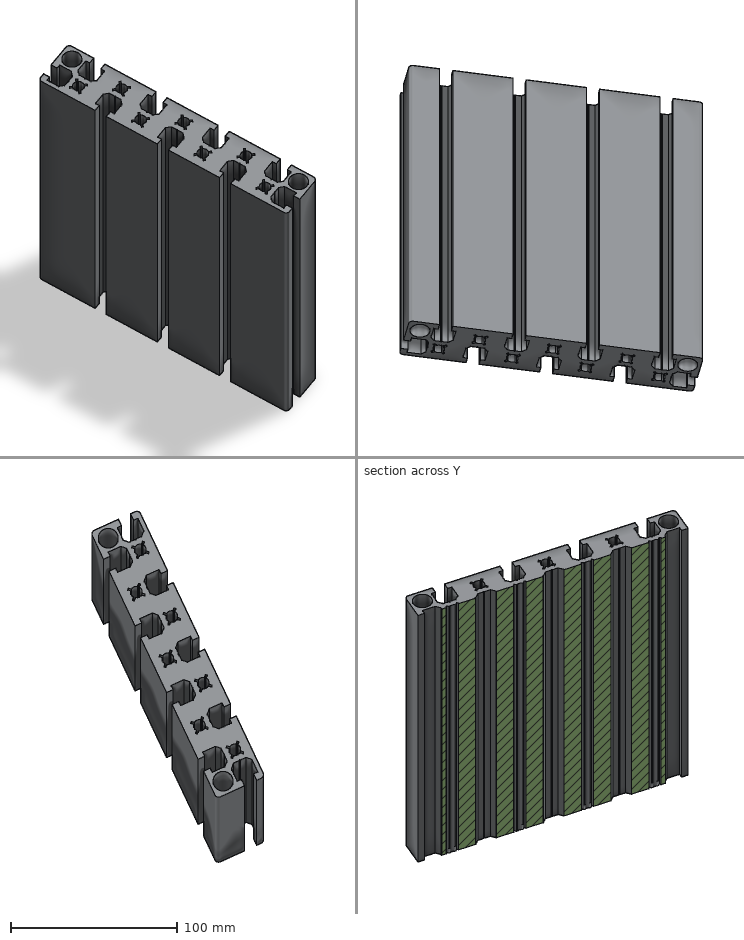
import cadquery as cq

WIDTH = 180.0
DEPTH = 32.0
LENGTH = 200.0
EDGE_ROUND_DIAMETER = 5.0

BACK_SLOT_COUNT = 4
FRONT_SLOT_COUNT = BACK_SLOT_COUNT - 1
SLOT_PITCH = WIDTH / BACK_SLOT_COUNT
SLOT_OPENING = 8.0
SLOT_INNER_WIDTH = 13.5
SLOT_LIP = 4.5
SLOT_DEPTH = 15.5
SLOT_CORNER = 2.5
NOTCH_WIDTH = 0.8
NOTCH_DEPTH = 0.5

CORE_ROW_SPACING = 13.0
CORE_DIAMETER = 7.0
RELIEF_LENGTH = 10.8
RELIEF_WIDTH = 1.2
CORNER_BORE_DIAMETER = 12.0
CORNER_BORE_INSET = 8.0

HALF_WIDTH = WIDTH / 2
HALF_DEPTH = DEPTH / 2
CORE_Y = CORE_ROW_SPACING / 2


def slot_positions(count):
    """X positions of a row of slots, one pitch apart and centred on the profile."""
    return [(i - (count - 1) / 2) * SLOT_PITCH for i in range(count)]


def t_slot(x, y, angle):
    """T-slot cutter whose mouth is centred on (x, y); at angle 0 it cuts towards +Y."""
    opening = SLOT_OPENING / 2
    inner = SLOT_INNER_WIDTH / 2
    floor = inner - SLOT_CORNER
    right_side = [
        (opening, 0),
        (opening, SLOT_LIP),
        (inner, SLOT_LIP),
        (inner, SLOT_DEPTH - SLOT_CORNER),
        (floor, SLOT_DEPTH),
        (NOTCH_WIDTH / 2, SLOT_DEPTH),
    ]
    notch_tip = (0, SLOT_DEPTH + NOTCH_DEPTH)
    left_side = [(-u, v) for u, v in reversed(right_side)]
    cutter = cq.Workplane("XY").polyline(right_side + [notch_tip] + left_side).close().extrude(LENGTH)
    return cutter.rotate((0, 0, 0), (0, 0, 1), angle).translate((x, y, 0))


def core_bore(x, y):
    """Round bore crossed by two narrow diagonal relief slots."""
    cutter = cq.Workplane("XY").circle(CORE_DIAMETER / 2).extrude(LENGTH)
    for angle in (45, -45):
        relief = cq.Workplane("XY").rect(RELIEF_LENGTH, RELIEF_WIDTH).extrude(LENGTH)
        cutter = cutter.union(relief.rotate((0, 0, 0), (0, 0, 1), angle))
    return cutter.translate((x, y, 0))


result = cq.Workplane("XY").rect(WIDTH, DEPTH).extrude(LENGTH).edges("|Z").fillet(EDGE_ROUND_DIAMETER / 2)

for slot_x in slot_positions(BACK_SLOT_COUNT):
    result = result.cut(t_slot(slot_x, HALF_DEPTH, 180))
    result = result.cut(core_bore(slot_x, -CORE_Y))

for slot_x in slot_positions(FRONT_SLOT_COUNT):
    result = result.cut(t_slot(slot_x, -HALF_DEPTH, 0))
    result = result.cut(core_bore(slot_x, CORE_Y))

result = result.cut(t_slot(-HALF_WIDTH, -CORE_Y, -90))
result = result.cut(t_slot(HALF_WIDTH, -CORE_Y, 90))

bore_x = HALF_WIDTH - CORNER_BORE_INSET
bore_y = HALF_DEPTH - CORNER_BORE_INSET
corner_bores = (
    cq.Workplane("XY")
    .pushPoints([(-bore_x, bore_y), (bore_x, bore_y)])
    .circle(CORNER_BORE_DIAMETER / 2)
    .extrude(LENGTH)
)
result = result.cut(corner_bores)